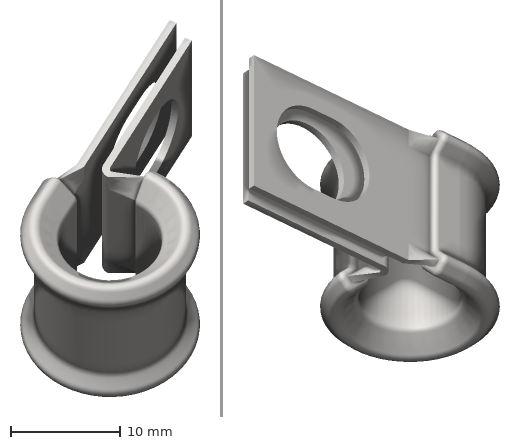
import cadquery as cq
import math

LENGTH = 32.42
RIM_RADIUS = 16.45 / 2
HALF_HEIGHT = 15.95 / 2

WALL = 2.25
INNER_RADIUS = 4.73
OUTER_RADIUS = INNER_RADIUS + WALL
EDGE_ROUND = 0.75
END_ROUND = 0.5
RING_ANGLE = 270
STRAIGHT_END = 2.98

SHEET = 0.7
STRAP_INNER = 5.5
STRAP_OUTER = STRAP_INNER + SHEET
STRAP_HALF_WIDTH = 7.2
FLARE_START = 5.35
FLARE_END = 5.55

LONG_TAB_END = LENGTH - RIM_RADIUS
SHORT_TAB_END = 23.02
SHORT_TAB_FACE = -4.05
BEND_RADIUS = 1.07
BEND_END = SHORT_TAB_FACE + BEND_RADIUS

HOLE_Y = 15.85
HOLE_DIAMETER = 8.75
SLOT_LENGTH = 11.2

DIAGONAL = math.sqrt(0.5)


def cushion_section():
    """Radial section of the cushion: constant wall, 45 degree lips, rounded corners."""
    corner_reach = EDGE_ROUND * (math.sqrt(2) - 1)
    lip_offset = WALL * DIAGONAL
    outer_tip_r = RIM_RADIUS + corner_reach
    inner_tip_r = outer_tip_r - lip_offset
    inner_tip_z = HALF_HEIGHT + corner_reach
    outer_tip_z = inner_tip_z - lip_offset
    upper_half = [
        (OUTER_RADIUS, outer_tip_z - (outer_tip_r - OUTER_RADIUS)),
        (outer_tip_r, outer_tip_z),
        (inner_tip_r, inner_tip_z),
        (INNER_RADIUS, inner_tip_z - (inner_tip_r - INNER_RADIUS)),
    ]
    lower_half = [(r, -z) for r, z in reversed(upper_half)]
    outline = upper_half + lower_half
    return cq.Sketch().polygon(outline + outline[:1]).vertices().fillet(EDGE_ROUND)


def cushion():
    """Three-quarter ring plus a short straight end, both free ends rounded."""
    section = cq.Workplane("XZ").placeSketch(cushion_section())
    ring = section.revolve(RING_ANGLE, (0, 0), (0, 1)).faces("|X").edges().fillet(END_ROUND)
    straight = section.extrude(STRAIGHT_END).faces("<Y").edges().fillet(END_ROUND)
    return ring.union(straight).rotate((0, 0, 0), (0, 0, 1), 180)


def block(x_range, y_range, half_height):
    """Box between two X and two Y positions, centred on Z = 0."""
    (x0, x1), (y0, y1) = x_range, y_range
    return cq.Workplane("XY").box(x1 - x0, y1 - y0, 2 * half_height).translate(
        ((x0 + x1) / 2, (y0 + y1) / 2, 0)
    )


def strap_transition(length):
    """Strap leaving the cushion at X = 0 towards -X, its edges unbending from 45 degrees to flat."""
    flare = (STRAP_HALF_WIDTH - FLARE_START) * DIAGONAL
    tip_step = SHEET * DIAGONAL
    tip_y = STRAP_OUTER + flare
    tip_z = FLARE_START + flare
    flared = [
        (STRAP_OUTER, FLARE_START),
        (STRAP_INNER, FLARE_START),
        (tip_y - tip_step, tip_z + tip_step),
        (tip_y, tip_z),
    ]
    flat = [
        (STRAP_OUTER, FLARE_START),
        (STRAP_INNER, FLARE_START),
        (STRAP_INNER, STRAP_HALF_WIDTH),
        (STRAP_OUTER, STRAP_HALF_WIDTH),
    ]
    upper_edge = (
        cq.Workplane("YZ").polyline(flared).close()
        .workplane(offset=-length).polyline(flat).close()
        .loft(ruled=True)
    )
    middle = block((-length, 0), (STRAP_INNER, STRAP_OUTER), FLARE_START)
    return middle.union(upper_edge).union(upper_edge.mirror("XY"))


def long_tab():
    """Straight tab in line with the cushion's straight end, with a slot."""
    tab = block((-STRAP_OUTER, -STRAP_INNER), (FLARE_END, LONG_TAB_END), STRAP_HALF_WIDTH)
    slot = (
        cq.Workplane("YZ").center(HOLE_Y, 0).slot2D(SLOT_LENGTH, HOLE_DIAMETER)
        .extrude(2 * STRAP_OUTER, both=True)
    )
    transition = (
        strap_transition(FLARE_END - STRAIGHT_END)
        .mirror("YZ")
        .rotate((0, 0, 0), (0, 0, 1), 90)
        .translate((0, STRAIGHT_END, 0))
    )
    return tab.cut(slot).union(transition)


def short_tab():
    """Tab bent through 90 degrees away from the open end of the ring, with a round hole."""
    inner_bend = BEND_RADIUS - SHEET
    back_face = SHORT_TAB_FACE + SHEET
    bend_y = STRAP_INNER + BEND_RADIUS
    reach = BEND_RADIUS * DIAGONAL
    inner_reach = inner_bend * DIAGONAL
    tab = (
        cq.Workplane("XY").workplane(offset=-STRAP_HALF_WIDTH)
        .moveTo(SHORT_TAB_FACE, SHORT_TAB_END)
        .lineTo(SHORT_TAB_FACE, bend_y)
        .threePointArc((BEND_END - reach, bend_y - reach), (BEND_END, STRAP_INNER))
        .lineTo(BEND_END, STRAP_OUTER)
        .threePointArc((BEND_END - inner_reach, bend_y - inner_reach), (back_face, bend_y))
        .lineTo(back_face, SHORT_TAB_END)
        .close()
        .extrude(2 * STRAP_HALF_WIDTH)
    )
    hole = (
        cq.Workplane("YZ").center(HOLE_Y, 0).circle(HOLE_DIAMETER / 2)
        .extrude(2 * STRAP_OUTER, both=True)
    )
    return tab.cut(hole).union(strap_transition(-BEND_END))


result = cushion().union(long_tab()).union(short_tab())